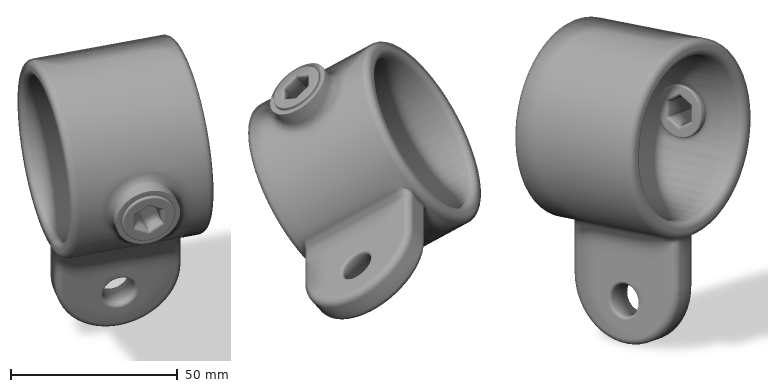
import cadquery as cq
import math

RING_LENGTH = 44.5
RING_RADIUS = 30.5
BORE_RADIUS = 25.4

ROUNDING = 2.0

LUG_THICKNESS = 9.0
LUG_WIDTH = 39.0
OVERALL_HEIGHT = 97.0
LUG_HOLE_RADIUS = 5.0
LUG_HOLE_ROUNDING = 1.0
LUG_HOLE_DROP = 5.7

lug_bottom = RING_RADIUS - OVERALL_HEIGHT
lug_end_radius = LUG_WIDTH / 2
lug_end_z = lug_bottom + lug_end_radius
lug_hole_z = lug_end_z - LUG_HOLE_DROP

BOSS_RADIUS = 10.0
BOSS_END_X = 35.1

SCREW_RADIUS = 8.2
SCREW_LENGTH = 13.0
SCREW_END_X = 36.1
SCREW_ROUNDING = 0.5
HEX_ROUNDING = 0.8
HEX_ACROSS_FLATS = 8.5

screw_start_x = SCREW_END_X - SCREW_LENGTH
hex_across_corners = HEX_ACROSS_FLATS / math.cos(math.pi / 6)


def cylinder_along_y(radius, length):
    """Cylinder on the Y axis, centred on the origin."""
    return cq.Workplane("XZ").circle(radius).extrude(length / 2, both=True)


def cylinder_along_x(radius, start_x, end_x):
    """Cylinder on the X axis between two X positions."""
    return cq.Workplane("YZ", origin=(start_x, 0, 0)).circle(radius).extrude(end_x - start_x)


def lug_outline():
    """Round-ended outline of the lug in the YZ plane, as a thick block along X."""
    return (
        cq.Workplane("YZ")
        .moveTo(-lug_end_radius, 0)
        .lineTo(-lug_end_radius, lug_end_z)
        .threePointArc((0, lug_bottom), (lug_end_radius, lug_end_z))
        .lineTo(lug_end_radius, 0)
        .close()
        .extrude(RING_RADIUS, both=True)
    )


def lug_profile():
    """Lug section in the XZ plane, flaring at the root to run tangent into the ring."""
    half_thickness = LUG_THICKNESS / 2
    flare_centre_x = half_thickness + ROUNDING
    flare_centre_distance = RING_RADIUS + ROUNDING
    flare_centre_z = -math.sqrt(flare_centre_distance**2 - flare_centre_x**2)
    contact_x = flare_centre_x * RING_RADIUS / flare_centre_distance
    contact_z = flare_centre_z * RING_RADIUS / flare_centre_distance
    return (
        cq.Workplane("XZ")
        .moveTo(-half_thickness, lug_bottom)
        .lineTo(half_thickness, lug_bottom)
        .lineTo(half_thickness, flare_centre_z)
        .radiusArc((contact_x, contact_z), ROUNDING)
        .lineTo(0, 0)
        .lineTo(-contact_x, contact_z)
        .radiusArc((-half_thickness, flare_centre_z), ROUNDING)
        .close()
        .extrude(LUG_WIDTH, both=True)
    )


def make_lug():
    """Lug with its outline rounded on both faces and a thin upper end inside the ring."""
    lug = lug_outline().intersect(lug_profile())
    return lug.edges("|Z").fillet(ROUNDING)


def edges_within(body, low_corner, high_corner):
    """Edges of a body whose centres lie in the box between two corners."""
    return body.edges(cq.selectors.BoxSelector(low_corner, high_corner))


def cut_lug_hole(body):
    """Drill the lug through along X and round both rims of the hole."""
    drill = (
        cq.Workplane("YZ")
        .center(0, lug_hole_z)
        .circle(LUG_HOLE_RADIUS)
        .extrude(LUG_THICKNESS, both=True)
    )
    body = body.cut(drill)
    rim_box = LUG_HOLE_RADIUS / 2
    return edges_within(
        body.edges("%CIRCLE"),
        (-LUG_THICKNESS, -rim_box, lug_hole_z - rim_box),
        (LUG_THICKNESS, rim_box, lug_hole_z + rim_box),
    ).fillet(LUG_HOLE_ROUNDING)


def add_boss(body):
    """Add the boss and round its root where it meets the ring."""
    body = body.union(cylinder_along_x(BOSS_RADIUS, 0, BOSS_END_X))
    return edges_within(
        body,
        (BORE_RADIUS, -BOSS_RADIUS, -BOSS_RADIUS),
        (RING_RADIUS + ROUNDING, BOSS_RADIUS, BOSS_RADIUS),
    ).edges("not %LINE").fillet(ROUNDING)


def make_housing():
    """Ring with lug and boss, bored along Y and drilled for the set screw."""
    body = cylinder_along_y(RING_RADIUS, RING_LENGTH).union(make_lug())
    body = cut_lug_hole(body)
    body = add_boss(body)
    body = body.cut(cylinder_along_y(BORE_RADIUS, RING_LENGTH))
    body = body.faces("<Y or >Y").edges().fillet(ROUNDING)
    return body.cut(cylinder_along_x(SCREW_RADIUS, 0, SCREW_END_X))


def make_set_screw():
    """Set screw with rounded rims and a hexagon passage that has two flats facing Y."""
    screw = cylinder_along_x(SCREW_RADIUS, screw_start_x, SCREW_END_X)
    screw = screw.faces("<X or >X").edges().fillet(SCREW_ROUNDING)
    hexagon = (
        cq.Workplane("YZ", origin=(screw_start_x, 0, 0))
        .transformed(rotate=(0, 0, 90))
        .polygon(6, hex_across_corners)
        .extrude(SCREW_LENGTH)
    )
    return screw.cut(hexagon).faces("<X or >X").edges("%LINE").fillet(HEX_ROUNDING)


housing = make_housing()
set_screw = make_set_screw()
result = cq.Compound.makeCompound([housing.val(), set_screw.val()])